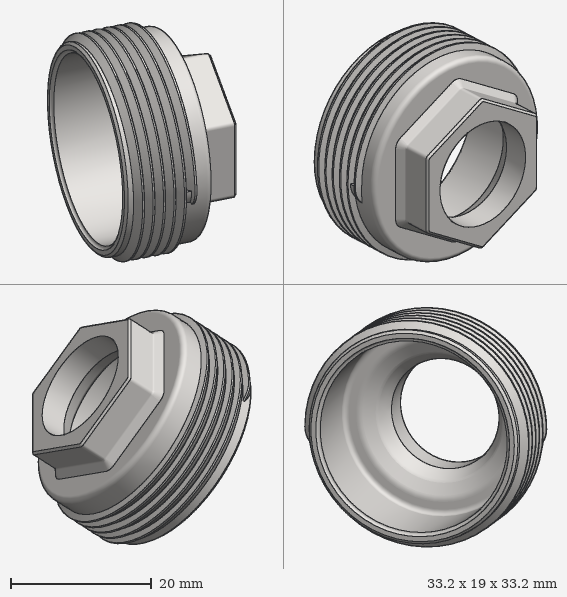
import cadquery as cq
import math


thread_diameter = 33.23
total_length = 18.97
body_radius = 15.62
body_length = 13.3
front_chamfer = 0.4
shoulder_fillet = 0.8

hex_across_flats = 20.8
hex_corner_radius = 0.7
hex_end_chamfer = 0.33
hex_base_flare = 1.05
hex_base_fillet = 0.4

counterbore_radius = 14.0
counterbore_depth = 11.15
mouth_fillet = 0.5
floor_fillet = 0.8
cone_start_radius = 11.63
cone_end_radius = 9.37
steep_cone_half_angle = 59.0
shallow_cone_half_angle = 30.0
through_radius = 8.05
cone_start_fillet = 1.65
cone_end_fillet = 0.93

thread_pitch = 1.6
thread_turns = 5.5
thread_start = front_chamfer
crest_width = 0.3
back_flank_width = 0.23
thread_embed = 0.03
runout_radius = 3.6
runout_angle = 55.0

stop_radius = 16.25
stop_width = 1.13
stop_drop = 0.33

ring_tolerance = 0.03

crest_radius = thread_diameter / 2
embedded_radius = body_radius - thread_embed
front_flank_width = crest_radius - embedded_radius
ridge_width = front_flank_width + crest_width + back_flank_width
hex_base = body_length + hex_base_flare


def ring_edge(radius, depth):
    """Selector for the circular edge of the given radius at Y = depth."""
    inner = radius - ring_tolerance
    outer = radius + ring_tolerance
    return cq.selectors.BoxSelector(
        (-outer, depth - ring_tolerance, -outer),
        (outer, depth + ring_tolerance, outer),
        boundingbox=True,
    ) - cq.selectors.BoxSelector(
        (-inner, depth - ring_tolerance, -inner),
        (inner, depth + ring_tolerance, inner),
        boundingbox=True,
    )


def rounded_hexagon(workplane, across_flats, corner_radius, length, taper=0):
    """Extrude a hexagon with rounded corners, two of its flats square to X."""
    side = across_flats / math.sqrt(3)
    points = [
        (side * math.sin(math.radians(60 * i)), side * math.cos(math.radians(60 * i)))
        for i in range(6)
    ]
    outline = cq.Sketch().polygon(points + points[:1]).vertices().fillet(corner_radius)
    return workplane.placeSketch(outline).extrude(length, taper=taper)


def outer_body():
    body = (
        cq.Workplane("XZ")
        .circle(body_radius)
        .extrude(-body_length)
    )
    body = body.faces("<Y").chamfer(front_chamfer)
    return body.faces(">Y").edges().fillet(shoulder_fillet)


def hexagon():
    end_plane = cq.Workplane("XZ", origin=(0, total_length, 0))
    head = rounded_hexagon(end_plane, hex_across_flats, hex_corner_radius, total_length - hex_base)
    head = head.faces(">Y").chamfer(hex_end_chamfer)
    flare_plane = cq.Workplane("XZ", origin=(0, hex_base, 0))
    flare = rounded_hexagon(flare_plane, hex_across_flats, hex_corner_radius, hex_base_flare, taper=-45)
    head = head.union(flare)
    waist = cq.selectors.BoxSelector(
        (-thread_diameter, hex_base - ring_tolerance, -thread_diameter),
        (thread_diameter, hex_base + ring_tolerance, thread_diameter),
    )
    return head.edges(waist).fillet(hex_base_fillet)


def bore():
    steep_end = counterbore_depth + (cone_start_radius - cone_end_radius) / math.tan(
        math.radians(steep_cone_half_angle)
    )
    shallow_end = steep_end + (cone_end_radius - through_radius) / math.tan(
        math.radians(shallow_cone_half_angle)
    )
    cutter = (
        cq.Workplane("XY")
        .moveTo(0, 0)
        .lineTo(counterbore_radius + mouth_fillet, 0)
        .radiusArc((counterbore_radius, mouth_fillet), -mouth_fillet)
        .lineTo(counterbore_radius, counterbore_depth)
        .lineTo(cone_start_radius, counterbore_depth)
        .lineTo(cone_end_radius, steep_end)
        .lineTo(through_radius, shallow_end)
        .lineTo(through_radius, total_length)
        .lineTo(0, total_length)
        .close()
        .revolve(360, (0, 0, 0), (0, 1, 0))
    )
    fillets = (
        (counterbore_radius, counterbore_depth, floor_fillet),
        (cone_start_radius, counterbore_depth, cone_start_fillet),
        (cone_end_radius, steep_end, cone_end_fillet),
    )
    for radius, depth, fillet in fillets:
        cutter = cutter.edges(ring_edge(radius, depth)).fillet(fillet)
    return cutter


def ridge_points():
    """Ridge section as (radius, height) points, centred on height zero."""
    base = -ridge_width / 2
    crest_start = base + front_flank_width
    crest_end = crest_start + crest_width
    return [
        (embedded_radius, base),
        (crest_radius, crest_start),
        (crest_radius, crest_end),
        (embedded_radius, -base),
    ]


def runout(points, turn_sign):
    """Turn a section about a nearby axis so that it dives into the body."""
    axis = max(radius for radius, height in points) - runout_radius
    section = cq.Workplane("XZ").polyline(points).close()
    return section.revolve(runout_angle, (axis, 0, 0), (axis, turn_sign, 0))


def thread():
    rise = thread_pitch * thread_turns
    path = cq.Wire.makeHelix(thread_pitch, rise, body_radius)
    section = cq.Workplane("XZ").polyline(ridge_points()).close()
    ridge = section.sweep(cq.Workplane(obj=path), isFrenet=True)
    start = runout(ridge_points(), -1)
    end = runout(ridge_points(), 1).rotate((0, 0, 0), (0, 0, 1), 180).translate((0, 0, rise))
    stop_base = rise - ridge_width / 2 - stop_drop
    stop_points = [
        (embedded_radius, stop_base),
        (stop_radius, stop_base),
        (stop_radius, stop_base + stop_width),
        (embedded_radius, stop_base + stop_width),
    ]
    stop = runout(stop_points, 1).rotate((0, 0, 0), (0, 0, 1), 180)
    pieces = []
    for piece in (start, end, stop, ridge):
        turned = piece.rotate((0, 0, 0), (0, 0, 1), 180)
        laid = turned.rotate((0, 0, 0), (1, 0, 0), -90)
        pieces.append(laid.translate((0, thread_start + ridge_width / 2, 0)))
    return pieces


body = outer_body().union(hexagon()).cut(bore())
for piece in thread():
    body = body.union(piece)
result = body